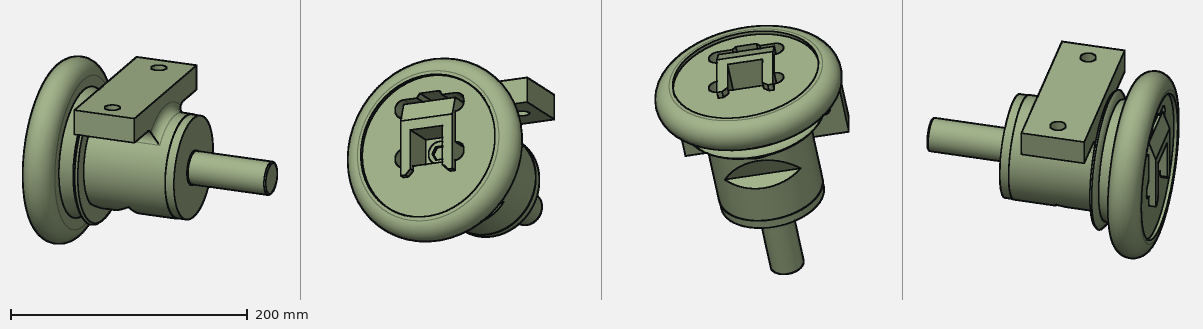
import cadquery as cq
import math

overall_length = 202.0

rim_front = 2.8
rim_width = 28.0
rim_outer_radius = 80.0
rim_edge_radius = rim_width / 2
rim_flat_radius = rim_outer_radius - rim_edge_radius
rim_back = rim_front + rim_width
recess_radius = 62.6
recess_depth = 3.2
face_x = rim_front + recess_depth
neck_front_radius = 56.2
neck_back_radius = 52.0
flange_front = 42.8
flange_start_radius = 53.0
flange_crest_x = 46.9
flange_crest_radius = 60.0
flange_back = 48.9
flange_back_radius = 58.2
flange_bulge_x = 44.5
flange_bulge_radius = 57.2

body_radius = 44.8
body_back = 123.0
cover_radius = 44.5
cover_back = 130.9
collar_radius = 15.0
collar_length = 0.8
shaft_radius = 14.3
shaft_chamfer = 1.2

block_front = 50.7
block_length = 54.7
block_width = 140.4
block_bottom = 42.8
block_top = 64.6
block_fillet = 8.0
bolt_hole_diameter = 13.1
bolt_hole_spacing = 104.8

notch_apex_x = 84.8
notch_apex_z = -31.0
notch_tip_x = 61.5
notch_back_x = 89.7
corner_cut_length = 9.9
corner_cut_height = 10.5

latch_width = 48.0
latch_top = 40.5
latch_bottom = -24.2
latch_slope_bottom = 24.0
latch_slope_depth = 6.0
socket_width = 29.9
socket_bottom = -socket_width / 2
leg_chamfer = 4.6
pocket_floor = rim_back

slot_length = 64.2
slot_height = 16.4
upper_slot_z = 36.4
lower_slot_z = -7.0
bump_top = 48.3
bump_top_width = 17.8
bump_base_width = 23.5

screw_radius = 10.0
screw_height = 5.0
hex_flats = 11.7
hex_depth = 3.0


def across_x(x):
    """Workplane facing +X at the given X; its local axes are Y and Z."""
    return cq.Workplane("YZ", origin=(x, 0, 0))


def disc(x_start, x_end, radius):
    return across_x(x_start).circle(radius).extrude(x_end - x_start)


def box_between(x_start, x_end, width, z_low, z_high):
    """Box centred on Y = 0."""
    base = cq.Workplane("XY", origin=(x_start, 0, z_low))
    return base.box(x_end - x_start, width, z_high - z_low, centered=(False, True, False))


def make_wheel():
    rim_middle = rim_front + rim_edge_radius
    profile = (
        cq.Workplane("XY")
        .moveTo(face_x, 0)
        .lineTo(face_x, recess_radius)
        .lineTo(rim_front, recess_radius)
        .lineTo(rim_front, rim_flat_radius)
        .threePointArc((rim_middle, rim_outer_radius), (rim_back, rim_flat_radius))
        .lineTo(rim_back, neck_front_radius)
        .lineTo(flange_front, neck_back_radius)
        .lineTo(flange_front, flange_start_radius)
        .threePointArc((flange_bulge_x, flange_bulge_radius), (flange_crest_x, flange_crest_radius))
        .lineTo(flange_back, flange_back_radius)
        .lineTo(flange_back, 0)
        .close()
    )
    return profile.revolve(360, (0, 0, 0), (1, 0, 0))


def make_body():
    """Body cylinder with the mounting block blended onto it."""
    block_back = block_front + block_length
    block = box_between(block_front, block_back, block_width, block_bottom, block_top)
    body = disc(flange_back, body_back, body_radius).union(block)
    body = body.union(make_block_blend())
    holes = (
        cq.Workplane("XY", origin=(block_front + block_length / 2, 0, block_bottom))
        .pushPoints([(0, side * bolt_hole_spacing / 2) for side in (-1, 1)])
        .circle(bolt_hole_diameter / 2)
        .extrude(block_top - block_bottom)
    )
    return body.cut(holes).cut(make_notch())


def make_block_blend():
    """Concave fillets under the block and behind it, meeting in a mitre at the back corners."""
    block_back = block_front + block_length
    blend_back = block_back + block_fillet
    arc_distance = body_radius + block_fillet
    arc_z = block_bottom - block_fillet
    arc_y = math.sqrt(arc_distance**2 - arc_z**2)
    foot_y = arc_y * body_radius / arc_distance
    foot_z = arc_z * body_radius / arc_distance
    arc_foot_angle = math.atan2(-arc_z, -arc_y)
    arc_top_angle = -1.5 * math.pi
    arc_middle_angle = (arc_foot_angle + arc_top_angle) / 2
    middle_y = arc_y + block_fillet * math.cos(arc_middle_angle)
    middle_z = arc_z + block_fillet * math.sin(arc_middle_angle)
    saddle = (
        across_x(block_front)
        .moveTo(-foot_y, foot_z)
        .threePointArc((-middle_y, middle_z), (-arc_y, block_bottom))
        .lineTo(-arc_y, block_top)
        .lineTo(arc_y, block_top)
        .lineTo(arc_y, block_bottom)
        .threePointArc((middle_y, middle_z), (foot_y, foot_z))
        .close()
        .extrude(blend_back - block_front)
    )
    arc_inset = block_fillet * (1 - math.sqrt(0.5))
    arc_middle = (block_back + arc_inset, body_radius + arc_inset)
    collar = (
        cq.Workplane("XY")
        .moveTo(block_front, 0)
        .lineTo(block_front, block_width / 2)
        .lineTo(block_back, block_width / 2)
        .lineTo(block_back, arc_distance)
        .threePointArc(arc_middle, (blend_back, body_radius))
        .lineTo(blend_back, 0)
        .close()
        .revolve(360, (0, 0, 0), (1, 0, 0))
    )
    return saddle.intersect(collar)


def make_notch():
    """Slanted notch and front corner cut, both running right across the body."""
    notch = (
        cq.Workplane("XZ")
        .polyline([(notch_tip_x, -body_radius), (notch_apex_x, notch_apex_z), (notch_back_x, -body_radius)])
        .close()
        .extrude(body_radius, both=True)
    )
    corner = (
        cq.Workplane("XZ")
        .polyline(
            [
                (flange_back, -body_radius),
                (flange_back, corner_cut_height - body_radius),
                (flange_back + corner_cut_length, -body_radius),
            ]
        )
        .close()
        .extrude(body_radius, both=True)
    )
    return notch.union(corner)


def make_shaft():
    cover = disc(body_back, cover_back, cover_radius)
    collar = disc(cover_back, cover_back + collar_length, collar_radius)
    shaft = disc(cover_back, overall_length, shaft_radius).faces(">X").chamfer(shaft_chamfer)
    return cover.union(collar).union(shaft)


def make_slots():
    depth = pocket_floor - face_x
    slots = (
        across_x(face_x)
        .pushPoints([(0, upper_slot_z), (0, lower_slot_z)])
        .slot2D(slot_length, slot_height)
        .extrude(depth)
    )
    bump_base = upper_slot_z + slot_height / 2
    bump = (
        across_x(face_x)
        .polyline(
            [
                (-bump_base_width / 2, upper_slot_z),
                (-bump_base_width / 2, bump_base),
                (-bump_top_width / 2, bump_top),
                (bump_top_width / 2, bump_top),
                (bump_base_width / 2, bump_base),
                (bump_base_width / 2, upper_slot_z),
            ]
        )
        .close()
        .extrude(depth)
    )
    return slots.union(bump)


def make_latch():
    """Block with a sloped top edge, and two legs standing proud of the wheel face."""
    block = box_between(0, pocket_floor, latch_width, socket_bottom, latch_top)
    slope = (
        cq.Workplane("XZ")
        .polyline([(0, latch_slope_bottom), (0, latch_top), (latch_slope_depth, latch_top)])
        .close()
        .extrude(latch_width, both=True)
    )
    latch = block.cut(slope)
    for side in (-1, 1):
        inner = side * socket_width / 2
        outer = side * latch_width / 2
        leg = (
            across_x(0)
            .polyline(
                [
                    (outer, socket_bottom),
                    (outer, latch_bottom),
                    (inner + side * leg_chamfer, latch_bottom),
                    (inner, latch_bottom + leg_chamfer),
                    (inner, socket_bottom),
                ]
            )
            .close()
            .extrude(face_x)
        )
        latch = latch.union(leg)
    return latch


def make_socket():
    return box_between(0, pocket_floor, socket_width, socket_bottom, socket_bottom + socket_width)


def make_screw():
    head_x = pocket_floor - screw_height
    hex_diameter = hex_flats / math.cos(math.pi / 6)
    hex_socket = across_x(head_x).polygon(6, hex_diameter).extrude(hex_depth)
    return disc(head_x, pocket_floor, screw_radius).cut(hex_socket)


result = make_wheel().cut(make_slots()).union(make_latch()).cut(make_socket()).union(make_screw())
result = result.union(make_body()).union(make_shaft())